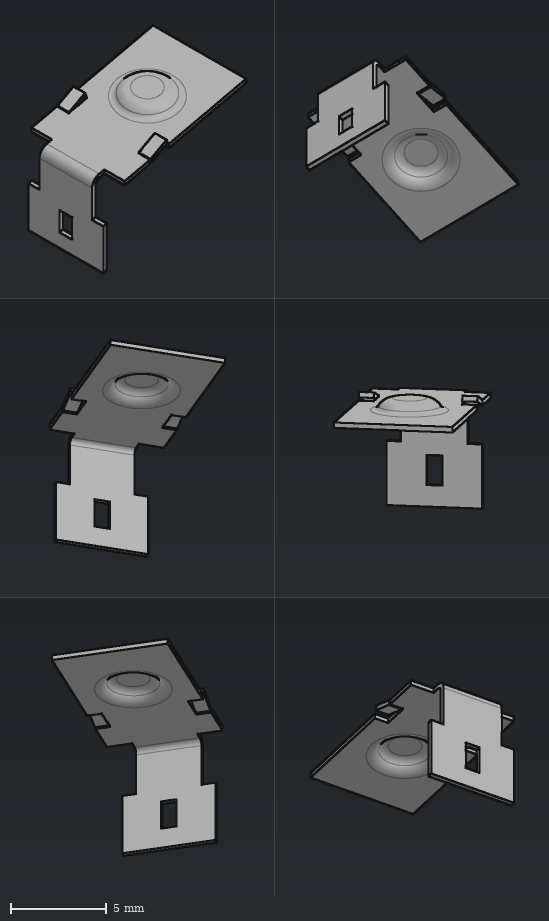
import cadquery as cq
import math

overall_length = 11.05
sheet = 0.3
bend_radius_outer = 2 * sheet
bend_radius_inner = bend_radius_outer - sheet

plate_width = 6.35
plate_front = 1.02

notch_front = 3.12
notch_length = 1.51
notch_depth = 0.81
tab_length = 1.39
tab_angle = 17.6
tab_gap = 0.03
tab_rise = 0.02

strap_width = 3.59
foot_width = 5.12
foot_height = 3.44
leg_depth = 6.35
slot_width = 0.84
slot_height = 1.6
slot_top = 3.59

dome_y = 6.74
dome_flat_radius = 0.88
crown_radius = 0.9
base_fillet_radius = 0.48
dome_height = 0.64


def box_between(x_size, y_min, y_max, z_min, z_max):
    """Box centred on X = 0 with the given Y and Z limits."""
    box = cq.Workplane("XY").box(x_size, y_max - y_min, z_max - z_min, centered=(True, False, False))
    return box.translate((0, y_min, z_min))


def make_plate():
    plate = box_between(plate_width, plate_front, overall_length, -sheet, 0)
    for side in (-1, 1):
        notch = box_between(notch_depth, notch_front, notch_front + notch_length, -sheet, 0)
        plate = plate.cut(notch.translate((side * (plate_width - notch_depth) / 2, 0, 0)))
    return plate


def make_strap():
    """Strip leaving the plate, turning down through the bend, and running to the leg's end."""
    arc_share = math.sqrt(0.5)
    center_y = bend_radius_outer
    center_z = -bend_radius_outer
    outer_mid = (center_y - bend_radius_outer * arc_share, center_z + bend_radius_outer * arc_share)
    inner_mid = (center_y - bend_radius_inner * arc_share, center_z + bend_radius_inner * arc_share)
    profile = (
        cq.Workplane("YZ")
        .moveTo(plate_front, 0)
        .lineTo(center_y, 0)
        .threePointArc(outer_mid, (0, center_z))
        .lineTo(0, -leg_depth)
        .lineTo(sheet, -leg_depth)
        .lineTo(sheet, center_z)
        .threePointArc(inner_mid, (center_y, -sheet))
        .lineTo(plate_front, -sheet)
        .close()
    )
    return profile.extrude(strap_width / 2, both=True)


def make_foot():
    return box_between(foot_width, 0, sheet, -leg_depth, foot_height - leg_depth)


def make_slot():
    return box_between(slot_width, 0, sheet, -slot_top - slot_height, -slot_top)


def make_tab(side):
    """Flat tab sloping up toward the rear, joined to the notch's inner side wall."""
    tab = box_between(notch_depth, 0, tab_length, -sheet, 0)
    tab = tab.rotate((0, 0, 0), (1, 0, 0), tab_angle)
    return tab.translate((side * (plate_width - notch_depth) / 2, notch_front + tab_gap, tab_rise))


def make_dome(depth):
    """Solid under the dome surface offset inward by depth, closed at the plate's underside."""
    crown = crown_radius - depth
    fillet = base_fillet_radius + depth
    crown_center_z = dome_height - crown_radius
    turn = math.acos(1 - dome_height / (crown_radius + base_fillet_radius))
    base_radius = dome_flat_radius + (crown_radius + base_fillet_radius) * math.sin(turn)

    def crown_point(angle):
        return dome_flat_radius + crown * math.sin(angle), crown_center_z + crown * math.cos(angle)

    def fillet_point(angle):
        return base_radius - fillet * math.sin(angle), base_fillet_radius - fillet * math.cos(angle)

    profile = (
        cq.Workplane("XZ")
        .moveTo(0, -sheet)
        .lineTo(0, dome_height - depth)
        .lineTo(dome_flat_radius, dome_height - depth)
        .threePointArc(crown_point(turn / 2), crown_point(turn))
        .threePointArc(fillet_point(turn / 2), fillet_point(0))
    )
    if depth < sheet:
        profile = profile.lineTo(base_radius, -sheet)
    dome = profile.close().revolve(360, (0, 0, 0), (0, 1, 0))
    return dome.translate((0, dome_y, 0))


body = make_plate().union(make_strap()).union(make_foot()).cut(make_slot())
body = body.union(make_dome(0)).cut(make_dome(sheet))
for tab_side in (-1, 1):
    body = body.union(make_tab(tab_side))
result = body